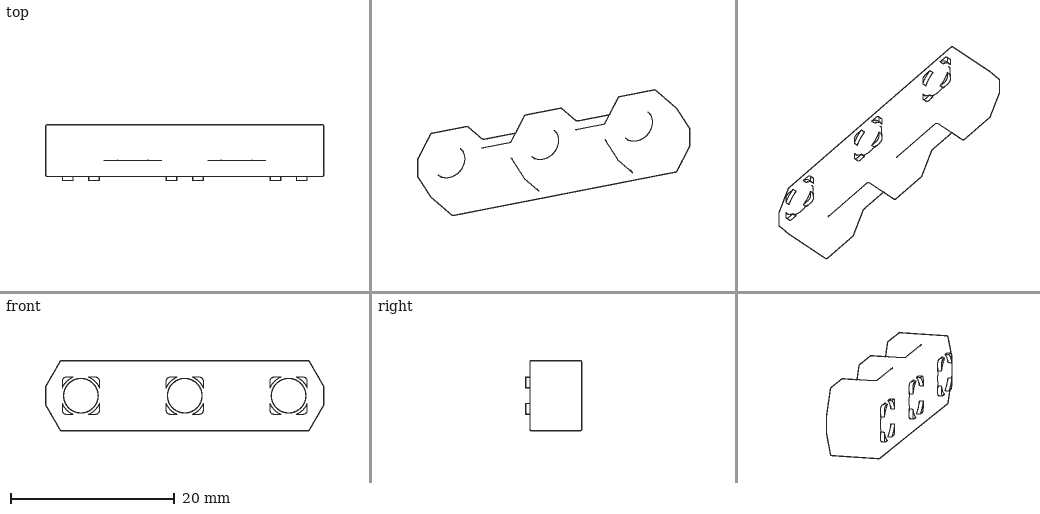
import cadquery as cq
import math

hole_pitch = 12.7
hole_count = 3
bar_thickness = 6.35
bar_height = 8.6
half_height = bar_height / 2
edge_radius = 0.2

boss_half_flat = half_height * math.tan(math.radians(30))
end_reach = half_height
wall_slope = math.tan(math.radians(60))
end_half_flat = half_height - (end_reach - boss_half_flat) * wall_slope

wall_thickness = 2.0
web_half_height = wall_thickness / 2

hole_diameter = 4.2
stud_square = 4.55
stud_height = 0.5
stud_bore_diameter = 4.93
stud_corner_radius = 0.5

outer_hole_x = hole_pitch * (hole_count - 1) / 2
hole_positions = [index * hole_pitch - outer_hole_x for index in range(hole_count)]
notch_positions = [x + hole_pitch / 2 for x in hole_positions[:-1]]


def extrude_back(sketch_plane, length):
    """Extrude an XZ sketch toward +Y."""
    return sketch_plane.extrude(-length)


def make_bar():
    """Bar with sloped ends; its front face lies on Y = 0."""
    end_x = outer_hole_x + end_reach
    corner_x = outer_hole_x + boss_half_flat
    outline = cq.Workplane("XZ").polyline([
        (-corner_x, half_height),
        (corner_x, half_height),
        (end_x, end_half_flat),
        (end_x, -end_half_flat),
        (corner_x, -half_height),
        (-corner_x, -half_height),
        (-end_x, -end_half_flat),
        (-end_x, end_half_flat),
    ]).close()
    return extrude_back(outline, bar_thickness)


def make_notch(x, side):
    """Tapered gap between two bosses, on the upper (side = 1) or lower (side = -1) face."""
    mouth_half = hole_pitch / 2 - boss_half_flat
    floor_half = mouth_half - (half_height - web_half_height) / wall_slope
    outline = cq.Workplane("XZ", origin=(x, wall_thickness, 0)).polyline([
        (-mouth_half, side * half_height),
        (mouth_half, side * half_height),
        (floor_half, side * web_half_height),
        (-floor_half, side * web_half_height),
    ]).close()
    return extrude_back(outline, bar_thickness - wall_thickness)


def make_studs(x):
    """Rounded square around the hole, split into four corner studs by a bore wider than the square."""
    plane = cq.Workplane("XZ", origin=(x, 0, 0))
    square = plane.rect(stud_square, stud_square).extrude(stud_height)
    square = square.edges("|Y").fillet(stud_corner_radius)
    bore = plane.circle(stud_bore_diameter / 2).extrude(stud_height)
    return square.cut(bore)


def make_hole(x):
    """Plain bore through the full thickness of the bar."""
    outline = cq.Workplane("XZ", origin=(x, 0, 0)).circle(hole_diameter / 2)
    return extrude_back(outline, bar_thickness)


result = make_bar()
for notch_x in notch_positions:
    for notch_side in (1, -1):
        result = result.cut(make_notch(notch_x, notch_side))
for hole_x in hole_positions:
    result = result.cut(make_hole(hole_x))

result = result.edges().fillet(edge_radius)

for hole_x in hole_positions:
    result = result.union(make_studs(hole_x))